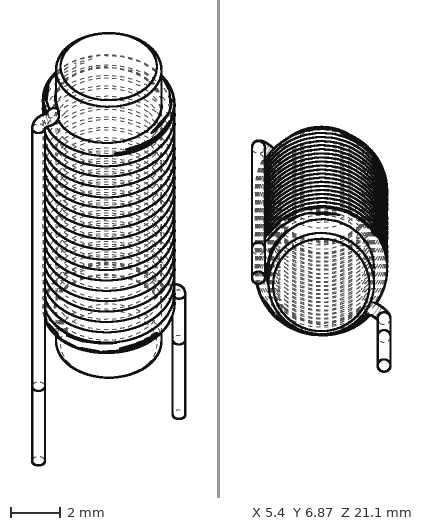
import cadquery as cq
import math

total_height = 21.15
core_diameter = 4.31
core_height = 15.81
core_chamfer = 0.2

coil_outer_diameter = 5.4
wire_diameter = 0.53
wire_radius = wire_diameter / 2
coil_radius = (coil_outer_diameter - wire_diameter) / 2
full_turns = 20
top_end_z = 19.25
bottom_end_z = 7.17

outer_depth = 6.87
lead_offset = (outer_depth - wire_diameter) / 2
bend_radius = 0.32
tip_length = 4.25

end_angle = math.asin(bend_radius / (coil_radius + bend_radius))
end_angle_deg = math.degrees(end_angle)


def make_core():
    """Cylindrical rod with a chamfer around both ends."""
    base = cq.Workplane("XY", origin=(0, 0, total_height - core_height))
    rod = base.circle(core_diameter / 2).extrude(core_height)
    return rod.faces("<Z or >Z").chamfer(core_chamfer)


def make_coil():
    """Right-handed winding from the +Y side at the bottom to the -Y side at the top."""
    turns = full_turns + 0.5 - 2 * end_angle_deg / 360
    rise = top_end_z - bottom_end_z
    helix = cq.Wire.makeHelix(rise / turns, rise, coil_radius)
    winding = (
        cq.Workplane("XZ")
        .center(coil_radius, 0)
        .circle(wire_radius)
        .sweep(cq.Workplane(helix), isFrenet=True)
    )
    start_angle_deg = 90 + end_angle_deg
    return winding.rotate((0, 0, 0), (0, 0, 1), start_angle_deg).translate((0, 0, bottom_end_z))


def make_elbow(side, z):
    """Double bend from a coil end outward, then down; side is the sign of Y."""
    start = cq.Vector(-coil_radius * math.sin(end_angle), side * coil_radius * math.cos(end_angle), z)
    start_direction = cq.Vector(math.cos(end_angle), side * math.sin(end_angle), 0)

    bend_center_y = (coil_radius + bend_radius) * math.cos(end_angle)
    mid_angle = (math.pi / 2 - end_angle) / 2
    outward_mid = cq.Vector(
        bend_radius * (math.cos(mid_angle) - 1),
        side * (bend_center_y - bend_radius * math.sin(mid_angle)),
        z,
    )
    outward_end = cq.Vector(0, side * bend_center_y, z)

    drop_start_y = lead_offset - bend_radius
    drop_start = cq.Vector(0, side * drop_start_y, z)
    diagonal = bend_radius * math.sqrt(0.5)
    drop_mid = cq.Vector(0, side * (drop_start_y + diagonal), z - bend_radius + diagonal)
    drop_end = cq.Vector(0, side * lead_offset, z - bend_radius)

    path = cq.Wire.assembleEdges([
        cq.Edge.makeThreePointArc(start, outward_mid, outward_end),
        cq.Edge.makeLine(outward_end, drop_start),
        cq.Edge.makeThreePointArc(drop_start, drop_mid, drop_end),
    ])
    section = cq.Workplane(cq.Plane(start, xDir=(0, 0, 1), normal=start_direction))
    return section.circle(wire_radius).sweep(cq.Workplane(path))


def make_straight_wire(side, bottom_z, top_z):
    """Vertical piece of lead wire between two heights."""
    base = cq.Workplane("XY", origin=(0, side * lead_offset, bottom_z))
    return base.circle(wire_radius).extrude(top_z - bottom_z)


core = make_core()
coil = make_coil()

elbows = []
leads = []
lead_tips = []
for side, coil_end_z in ((-1, top_end_z), (1, bottom_end_z)):
    elbows.append(make_elbow(side, coil_end_z).val())
    leads.append(make_straight_wire(side, tip_length, coil_end_z - bend_radius).val())
    lead_tips.append(make_straight_wire(side, 0, tip_length).val())

result = cq.Compound.makeCompound([core.val(), coil.val(), *elbows, *leads, *lead_tips])